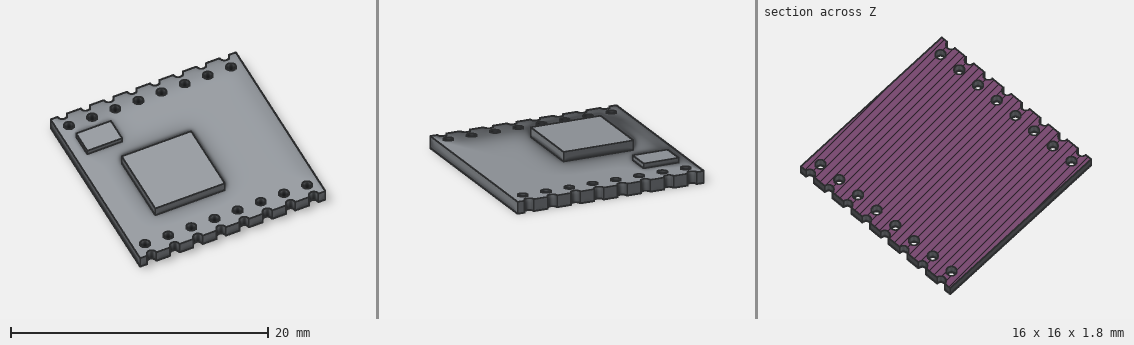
import cadquery as cq

BOARD_SIDE = 16.0
BOARD_THICKNESS = 1.0

PADS_PER_SIDE = 8
PAD_PITCH = 2.0
PAD_WIDTH = 1.0
HOLE_DIAMETER = 0.8
HOLE_EDGE_DISTANCE = 1.2

CHIP_SIDE = 6.0
CHIP_HEIGHT = 0.8
CHIP_CENTER = (1.5, -2.0)
SMALL_COMPONENT_SIZE = (2.0, 3.0)
SMALL_COMPONENT_HEIGHT = 0.4
SMALL_COMPONENT_CENTER = (-4.5, -5.5)

EDGE_X = BOARD_SIDE / 2
HOLE_X = EDGE_X - HOLE_EDGE_DISTANCE
PAD_ROW_HALF_SPAN = (PADS_PER_SIDE - 1) * PAD_PITCH / 2
PAD_ROW_Y = [index * PAD_PITCH - PAD_ROW_HALF_SPAN for index in range(PADS_PER_SIDE)]


def turned_to_other_side(body):
    """Copy of a +X side body, turned half a turn about Z to the -X side."""
    return body.rotate((0, 0, 0), (0, 0, 1), 180)


def make_board():
    return cq.Workplane("XY").box(
        BOARD_SIDE, BOARD_SIDE, BOARD_THICKNESS, centered=(True, True, False)
    )


def make_pad(y):
    """Full-thickness pad on the +X side, rounded around its hole."""
    half_width = PAD_WIDTH / 2
    return (
        cq.Workplane("XY")
        .moveTo(EDGE_X, y - half_width)
        .lineTo(HOLE_X, y - half_width)
        .threePointArc((HOLE_X - half_width, y), (HOLE_X, y + half_width))
        .lineTo(EDGE_X, y + half_width)
        .close()
        .extrude(BOARD_THICKNESS)
    )


def add_pads(board):
    for y in PAD_ROW_Y:
        pad = make_pad(y)
        board = board.union(pad, clean=False)
        board = board.union(turned_to_other_side(pad), clean=False)
    return board


def cut_holes_and_notches(board):
    centers = [(x, y) for x in (HOLE_X, EDGE_X) for y in PAD_ROW_Y]
    cutters = (
        cq.Workplane("XY")
        .pushPoints(centers)
        .circle(HOLE_DIAMETER / 2)
        .extrude(BOARD_THICKNESS)
    )
    board = board.cut(cutters, clean=False)
    return board.cut(turned_to_other_side(cutters), clean=False)


def make_component(center, size, height):
    return (
        cq.Workplane("XY", origin=(0, 0, BOARD_THICKNESS))
        .center(*center)
        .rect(*size)
        .extrude(height)
    )


chip = make_component(CHIP_CENTER, (CHIP_SIDE, CHIP_SIDE), CHIP_HEIGHT)
small_component = make_component(
    SMALL_COMPONENT_CENTER, SMALL_COMPONENT_SIZE, SMALL_COMPONENT_HEIGHT
)

board = cut_holes_and_notches(add_pads(make_board()))
result = board.union(chip, clean=False).union(small_component, clean=False)